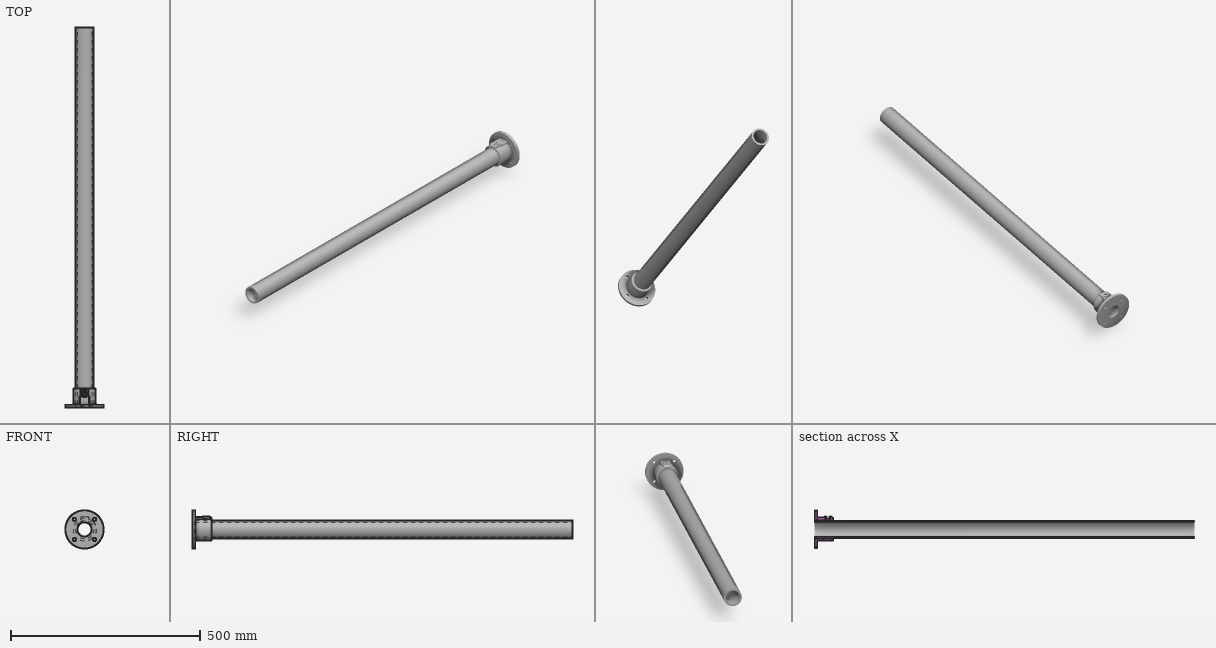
import cadquery as cq

flange_diameter = 102.0
flange_thickness = 8.0
flange_bore = 37.0

bolt_hole_diameter = 8.0
bolt_circle_diameter = 76.0
bolt_count = 4
bolt_start_angle = 45.0

pipe_diameter = 48.3
pipe_wall = 5.0
pipe_length = 1000.0
pipe_seat = 5.5

collar_diameter = 60.0
collar_end = 51.0
collar_edge_radius = 3.0
collar_root_radius = 1.5

pad_top = 33.0
wide_pad_width = 28.0
wide_pad_end = 29.0
wide_pad_edge = 4.5
narrow_pad_width = 23.5
narrow_pad_edge = 3.5

boss_diameter = 17.5
boss_top = 35.0

screw_diameter = 12.0
screw_position = 36.0
screw_top = boss_top
socket_size = 7.0
socket_depth = 6.0


def rod(diameter, start, end):
    """A cylinder along Y from start to end."""
    return cq.Workplane("XZ", origin=(0, start, 0)).circle(diameter / 2).extrude(start - end)


def post(diameter, bottom, top):
    """A vertical cylinder on the set screw axis."""
    return cq.Workplane("XY", origin=(0, screw_position, bottom)).circle(diameter / 2).extrude(top - bottom)


def make_flange_and_collar():
    """The flange and collar as one turned shape, with a filleted root and a rounded collar end."""
    flange_radius = flange_diameter / 2
    collar_radius = collar_diameter / 2
    return (
        cq.Workplane("XY")
        .lineTo(flange_radius, 0)
        .lineTo(flange_radius, flange_thickness)
        .lineTo(collar_radius + collar_root_radius, flange_thickness)
        .radiusArc((collar_radius, flange_thickness + collar_root_radius), collar_root_radius)
        .lineTo(collar_radius, collar_end - collar_edge_radius)
        .radiusArc((collar_radius - collar_edge_radius, collar_end), -collar_edge_radius)
        .lineTo(0, collar_end)
        .close()
        .revolve(360, (0, 0, 0), (0, 1, 0))
    )


def pad_block(width, end):
    """A block on the collar axis, from the mounting face to the given end."""
    return cq.Workplane("XY").box(width, end, pad_top, centered=(True, False, False))


def make_pad():
    wide_pad = pad_block(wide_pad_width, wide_pad_end).edges("|Y and >Z").fillet(wide_pad_edge)
    narrow_pad = pad_block(narrow_pad_width, collar_end).faces(">Y").edges(">Z or |Z").chamfer(narrow_pad_edge)
    return wide_pad.union(narrow_pad)


def make_bolt_holes():
    return (
        cq.Workplane("XZ")
        .polarArray(bolt_circle_diameter / 2, bolt_start_angle, 360, bolt_count)
        .circle(bolt_hole_diameter / 2)
        .extrude(-flange_thickness)
    )


def make_fitting():
    """The cast fitting: flange, collar, pad and boss, with the pipe socket and the screw hole."""
    fitting = make_flange_and_collar().union(make_pad()).union(post(boss_diameter, 0, boss_top))
    fitting = fitting.cut(make_bolt_holes())
    fitting = fitting.cut(rod(flange_bore, 0, pipe_seat))
    fitting = fitting.cut(rod(pipe_diameter, pipe_seat, collar_end))
    return fitting.cut(post(screw_diameter, 0, boss_top))


def make_pipe():
    pipe_end = pipe_seat + pipe_length
    pipe_bore = pipe_diameter - 2 * pipe_wall
    return rod(pipe_diameter, pipe_seat, pipe_end).cut(rod(pipe_bore, pipe_seat, pipe_end))


def make_set_screw():
    """A headless screw with a hexagon socket, its tip resting on the pipe."""
    screw = post(screw_diameter, 0, screw_top).cut(rod(pipe_diameter, 0, collar_end))
    socket = (
        cq.Workplane("XY", origin=(0, screw_position, screw_top))
        .polygon(6, socket_size, circumscribed=True)
        .extrude(-socket_depth)
    )
    return screw.cut(socket)


fitting = make_fitting()
pipe = make_pipe()
set_screw = make_set_screw()

result = cq.Compound.makeCompound([fitting.val(), pipe.val(), set_screw.val()])